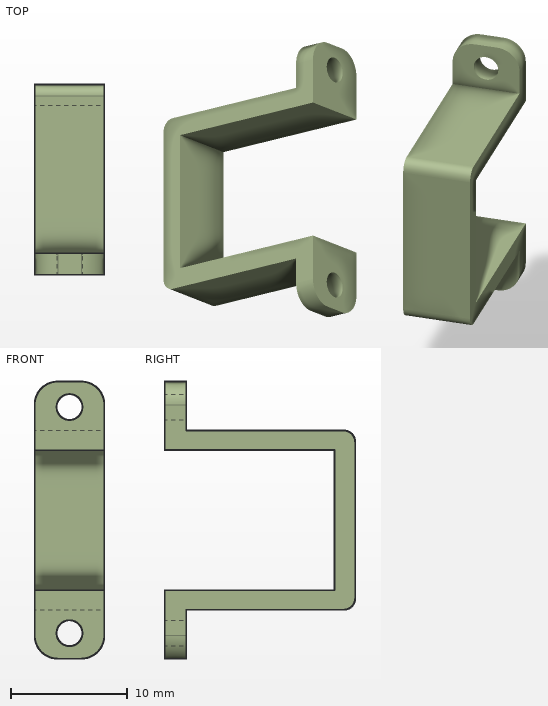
import cadquery as cq

WIDTH = 6.0
DEPTH = 16.35
OPENING_HEIGHT = 12.0
ARM_THICKNESS = 1.7
BACK_THICKNESS = 1.8
TAB_THICKNESS = 1.85
TAB_LENGTH = 4.2
TAB_CORNER_RADIUS = 2.0
BACK_CORNER_RADIUS = 1.0
HOLE_DIAMETER = 2.2
HOLE_EDGE_DISTANCE = 2.2

BODY_HEIGHT = OPENING_HEIGHT + 2 * ARM_THICKNESS
TOTAL_HEIGHT = BODY_HEIGHT + 2 * TAB_LENGTH
HOLE_Z = TOTAL_HEIGHT / 2 - HOLE_EDGE_DISTANCE


def block(depth, height):
    """Full-width block running back from the front face, centred on X and Z."""
    return cq.Workplane("XY").box(WIDTH, depth, height, centered=(True, False, True))


def make_body():
    """Solid body with its two outer back corners rounded."""
    return block(DEPTH, BODY_HEIGHT).edges("|X and >Y").fillet(BACK_CORNER_RADIUS)


def make_tab_plate():
    """Front plate with rounded corners whose ends form the two mounting tabs."""
    return block(TAB_THICKNESS, TOTAL_HEIGHT).edges("|Y").fillet(TAB_CORNER_RADIUS)


def make_opening():
    """Space between the arms, open at the front."""
    return block(DEPTH - BACK_THICKNESS, OPENING_HEIGHT)


def make_tab_hole(z):
    """Through hole in the tab at height z."""
    hole = cq.Workplane("XZ").center(0, z).circle(HOLE_DIAMETER / 2)
    return hole.extrude(-TAB_THICKNESS)


result = make_body().union(make_tab_plate()).cut(make_opening())
for hole_z in (-HOLE_Z, HOLE_Z):
    result = result.cut(make_tab_hole(hole_z))